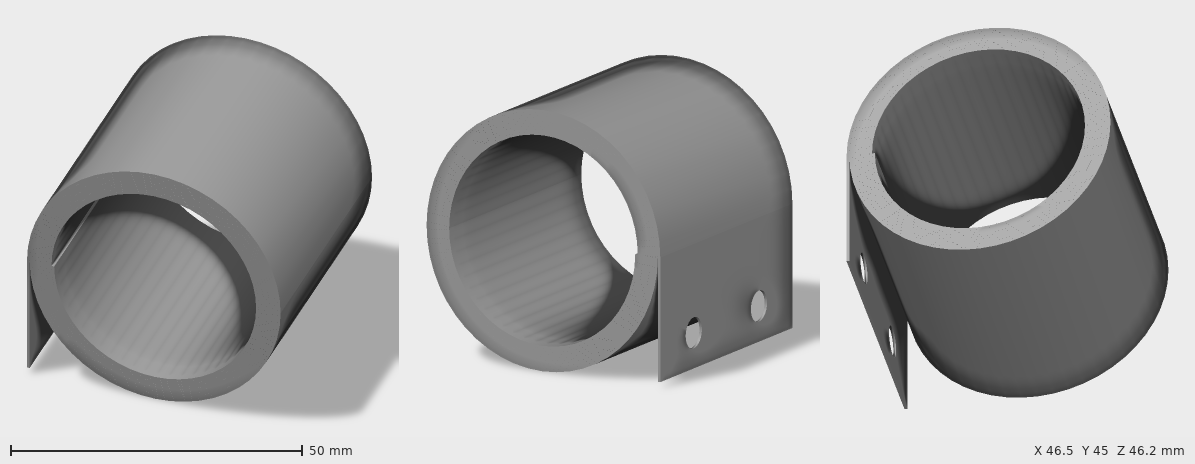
import cadquery as cq

strip_width = 45.0
layer_pitch = 0.5
layer_clearance = 0.005
strip_thickness = layer_pitch - layer_clearance
turn_count = 9
outer_radius = 23.25

lower_center_x = layer_pitch / 2

tail_length = 22.0
hole_diameter = 5.5
hole_spacing = 22.2
hole_end_distance = 6.3


def half_turn_radii(first_radius):
    """Radii of the half turns of one strip face, outermost first."""
    half_pitch = layer_pitch / 2
    return [first_radius - half_pitch * half_turn for half_turn in range(2 * turn_count)]


def half_turns(first_radius):
    """Start, middle and end points of each half turn, alternating upper and lower."""
    arcs = []
    for index, radius in enumerate(half_turn_radii(first_radius)):
        is_upper = index % 2 == 0
        center_x = 0.0 if is_upper else lower_center_x
        side = 1 if is_upper else -1
        start = (center_x - side * radius, 0.0)
        middle = (center_x, side * radius)
        end = (center_x + side * radius, 0.0)
        arcs.append((start, middle, end))
    return arcs


def make_strip():
    outer_face = half_turns(outer_radius)
    inner_face = half_turns(outer_radius - strip_thickness)
    tail_outer_x = -outer_radius
    tail_inner_x = tail_outer_x + strip_thickness

    profile = cq.Workplane("XZ").moveTo(tail_outer_x, -tail_length).lineTo(tail_outer_x, 0)
    for _, middle, end in outer_face:
        profile = profile.threePointArc(middle, end)
    inner_end = inner_face[-1][2]
    profile = profile.lineTo(*inner_end)
    for start, middle, _ in reversed(inner_face):
        profile = profile.threePointArc(middle, start)
    profile = profile.lineTo(tail_inner_x, -tail_length).close()
    return profile.extrude(strip_width / 2, both=True)


def make_tail_holes():
    """Cutters that pass through the tail only and stop short of the roll."""
    cutter_margin = strip_thickness
    hole_z = hole_end_distance - tail_length
    return (
        cq.Workplane("YZ", origin=(-outer_radius - cutter_margin, 0, hole_z))
        .pushPoints([(-hole_spacing / 2, 0), (hole_spacing / 2, 0)])
        .circle(hole_diameter / 2)
        .extrude(strip_thickness + 2 * cutter_margin)
    )


result = make_strip().cut(make_tail_holes())